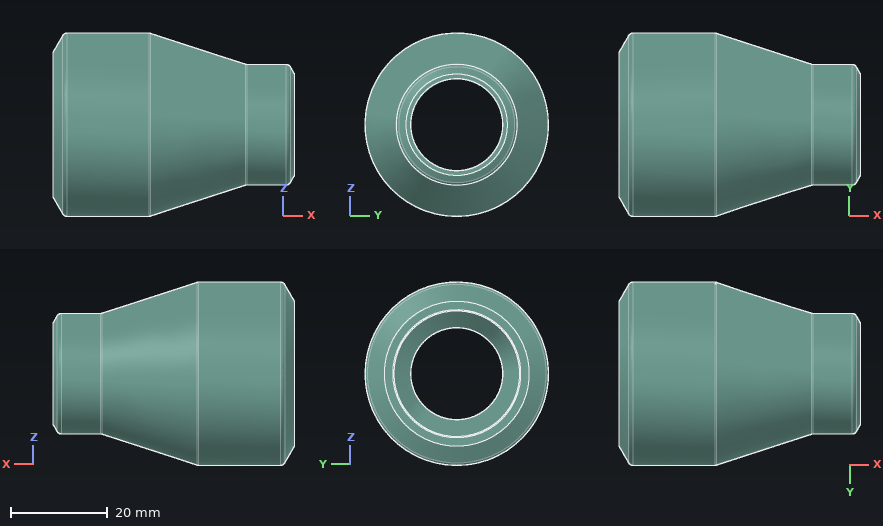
import cadquery as cq
import math

length = 50.0
taper_start = 20.0
taper_end = 40.0
large_radius = 38.0 / 2
small_radius = 25.0 / 2
large_bore_radius = 26.0 / 2
small_bore_radius = 19.0 / 2
large_bore_depth = 12.0

bevel_angle = math.radians(30)
large_face_radius = 30.0 / 2
small_face_radius = 21.0 / 2
large_bevel_length = (large_radius - large_face_radius) * math.tan(bevel_angle)
small_bevel_length = (small_radius - small_face_radius) * math.tan(bevel_angle)

edge_round = 1.0
mouth_chamfer = 0.25


def outer_body():
    """Solid reducer with both bevels and every outer corner rounded."""
    profile = [
        (0, 0),
        (0, large_face_radius),
        (large_bevel_length, large_radius),
        (taper_start, large_radius),
        (taper_end, small_radius),
        (length - small_bevel_length, small_radius),
        (length, small_face_radius),
        (length, 0),
    ]
    body = cq.Workplane("XY").polyline(profile).close().revolve(360, (0, 0, 0), (1, 0, 0))
    rims = cq.selectors.BoxSelector(
        (large_bevel_length / 2, -large_radius * 2, -large_radius * 2),
        (length - small_bevel_length / 2, large_radius * 2, large_radius * 2),
    )
    return body.edges("%CIRCLE").edges(rims).fillet(edge_round)


def bore():
    """Stepless passage: large bore, conical taper and small bore."""
    profile = [
        (0, 0),
        (0, large_bore_radius + mouth_chamfer),
        (mouth_chamfer, large_bore_radius),
        (large_bore_depth, large_bore_radius),
        (taper_end, small_bore_radius),
        (length, small_bore_radius),
        (length, 0),
    ]
    return cq.Workplane("XY").polyline(profile).close().revolve(360, (0, 0, 0), (1, 0, 0))


result = outer_body().cut(bore())